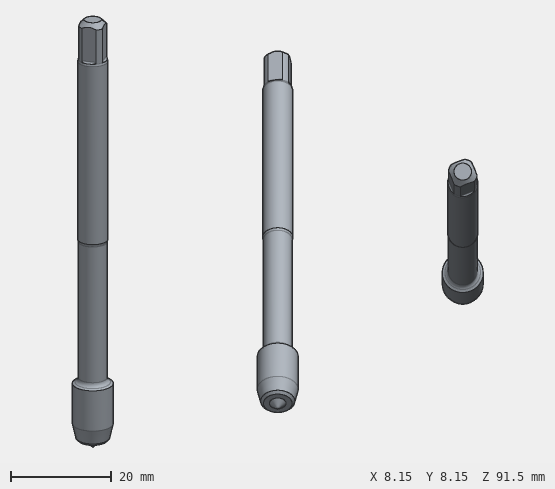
import cadquery as cq
import math

total_length = 91.55
split_z = 44.6

shank_radius = 6.0 / 2
taper_bottom_z = 82.7
taper_top_z = 83.1
drive_radius = 5.8 / 2
drive_end_radius = 3.5 / 2
drive_across_flats = 4.9
flat_root_radius = 0.4
flat_count = 4

stem_radius = 5.8 / 2
stem_taper_height = 0.55
head_radius = 8.15 / 2
head_rim_z = 13.7
head_top_slope = math.radians(25)
head_root_radius = 1.1
nose_top_z = 5.1
nose_radius = 3.4
nose_bottom_z = 1.6
nose_chamfer = 0.55
point_radius = 1.65


def revolve_about_z(outline):
    """Revolve a closed outline, drawn in the XZ plane, about the Z axis."""
    return outline.close().revolve(360, (0, 0, 0), (0, 1, 0))


def make_flat_cutter():
    """Block that removes one drive flat on the +X side, leaving a rounded root."""
    flat_distance = drive_across_flats / 2
    width = 2 * drive_radius
    block = cq.Workplane("XY").box(
        width, width, total_length - taper_top_z, centered=(False, True, False)
    )
    rounded_block = block.edges("<X and <Z").fillet(flat_root_radius)
    return rounded_block.translate((flat_distance, 0, taper_top_z))


def make_driver():
    """Shank and chamfered drive end as one turning, with four flats cut into the end."""
    end_chamfer = drive_radius - drive_end_radius
    driver_body = revolve_about_z(
        cq.Workplane("XZ")
        .moveTo(0, split_z)
        .lineTo(shank_radius, split_z)
        .lineTo(shank_radius, taper_bottom_z)
        .lineTo(drive_radius, taper_top_z)
        .lineTo(drive_radius, total_length - end_chamfer)
        .lineTo(drive_end_radius, total_length)
        .lineTo(0, total_length)
    )
    flat_cutter = make_flat_cutter()
    for index in range(flat_count):
        angle = index * 360 / flat_count
        driver_body = driver_body.cut(flat_cutter.rotate((0, 0, 0), (0, 0, 1), angle))
    return driver_body


def make_punch():
    """Stem blended into the sloping top of the head, tapered nose and centre point."""
    arc_center_x = stem_radius + head_root_radius
    root_outer_radius = arc_center_x - head_root_radius * math.sin(head_top_slope)
    root_bottom_z = head_rim_z + (head_radius - root_outer_radius) * math.tan(head_top_slope)
    arc_center_z = root_bottom_z + head_root_radius * math.cos(head_top_slope)
    middle_angle = (math.pi / 2 - head_top_slope) / 2
    arc_middle = (
        arc_center_x - head_root_radius * math.cos(middle_angle),
        arc_center_z - head_root_radius * math.sin(middle_angle),
    )
    return revolve_about_z(
        cq.Workplane("XZ")
        .moveTo(0, 0)
        .lineTo(point_radius, nose_bottom_z)
        .lineTo(nose_radius - nose_chamfer, nose_bottom_z)
        .lineTo(nose_radius, nose_bottom_z + nose_chamfer)
        .lineTo(head_radius, nose_top_z)
        .lineTo(head_radius, head_rim_z)
        .lineTo(root_outer_radius, root_bottom_z)
        .threePointArc(arc_middle, (stem_radius, arc_center_z))
        .lineTo(stem_radius, split_z - stem_taper_height)
        .lineTo(shank_radius, split_z)
        .lineTo(0, split_z)
    )


driver = make_driver()
punch = make_punch()
result = cq.Compound.makeCompound([driver.solids().val(), punch.val()])